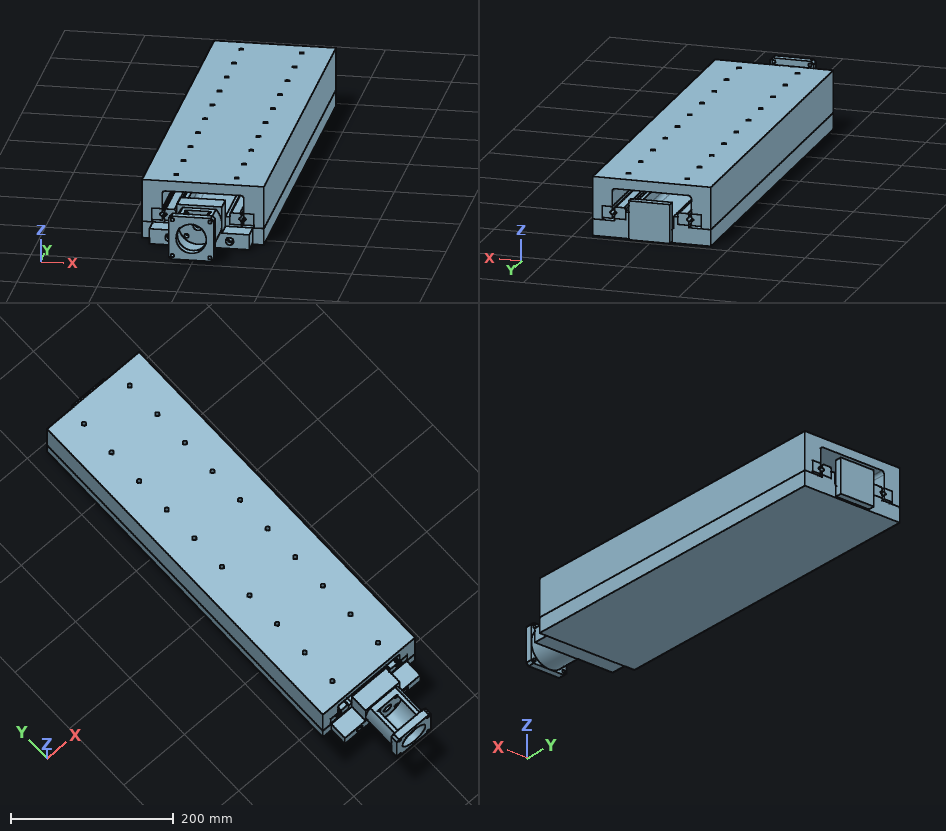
import cadquery as cq
import math

STAGE_WIDTH = 152.5
STAGE_LENGTH = 507.5
STAGE_HEIGHT = 76.0
BASE_HEIGHT = 21.5
BOLT_HALF_SPACING = 38.0

AXIS_Z = 33.0
DRIVE_HALF_WIDTH = 28.0
SHAFT_HOLE_DIAMETER = 12.5

OPENING_HALF_WIDTH = 51.0
OPENING_TOP_Z = 63.0
OPENING_FILLET = 4.0
RAIL_POCKET_HALF_WIDTH = 63.5
TABLE_HOLES_PER_ROW = 10
TABLE_HOLE_PITCH = STAGE_LENGTH / TABLE_HOLES_PER_ROW
TABLE_HOLE_DIAMETER = 5.5

RAIL_BOTTOM_Z = 24.5
RAIL_TOP_Z = 39.5
RAIL_GAP = 3.0
INNER_RAIL_CHAMFER = 2.0
GROOVE_DEPTH = 3.0
GROOVE_HALF_HEIGHT = 3.0
INNER_RAIL_WIDTH = 14.5
OUTER_RAIL_FACE_X = OPENING_HALF_WIDTH
INNER_RAIL_FACE_X = OUTER_RAIL_FACE_X - RAIL_GAP
INNER_RAIL_BACK_X = INNER_RAIL_FACE_X - INNER_RAIL_WIDTH

RIDGE_TOP_Z = 34.0
CHANNEL_FLOOR_Z = 15.5
CHANNEL_FILLET = 6.0

BRACKET_LENGTH = 25.0
BRACKET_BOTTOM_Z = 2.0
BRACKET_TOP_Z = 56.0
FOOT_HALF_WIDTH = 62.5
FOOT_BOLT_Z = 11.5
FOOT_BOLT_DIAMETER = 6.0
FOOT_COUNTERBORE_DIAMETER = 9.5
FOOT_COUNTERBORE_DEPTH = 9.0

TUBE_LENGTH = 47.5
TUBE_END_WALL = 9.0
TUBE_BORE_DIAMETER = 49.0
TUBE_BOLT_HALF_SPACING = 14.5
TUBE_BOLT_DIAMETER = 5.5
TUBE_FLAT_HEIGHT = 19.0
FLANGE_THICKNESS = 10.0
FLANGE_CHAMFER = 3.5
PILOT_BORE_DIAMETER = 38.0
FLANGE_HOLE_HALF_SPACING = 23.5
FLANGE_HOLE_DIAMETER = 4.0

END_PLATE_THICKNESS = 9.5
END_PLATE_HALF_WIDTH = 26.5
END_PLATE_TOP_Z = 52.0

STAGE_REAR_Y = STAGE_LENGTH / 2
STAGE_FRONT_Y = -STAGE_LENGTH / 2
BRACKET_FRONT_Y = STAGE_FRONT_Y - BRACKET_LENGTH
TUBE_WALL_Y = BRACKET_FRONT_Y - TUBE_END_WALL
TUBE_FRONT_Y = BRACKET_FRONT_Y - TUBE_LENGTH
FLANGE_FRONT_Y = TUBE_FRONT_Y - FLANGE_THICKNESS


def centred_box(half_width, y_front, y_rear, z_bottom, z_top):
    """Box that is symmetric about X = 0."""
    size = (2 * half_width, y_rear - y_front, z_top - z_bottom)
    corner = (-half_width, y_front, z_bottom)
    return cq.Workplane("XY").box(*size, centered=False).translate(corner)


def stage_box(half_width, z_bottom, z_top):
    """Box that is symmetric about X = 0 and as long as the stage."""
    return centred_box(half_width, STAGE_FRONT_Y, STAGE_REAR_Y, z_bottom, z_top)


def y_cylinder(x, z, diameter, y_front, y_rear):
    """Cylinder along Y."""
    start = cq.Vector(x, y_front, z)
    return cq.Workplane(cq.Solid.makeCylinder(diameter / 2, y_rear - y_front, start, cq.Vector(0, 1, 0)))


def make_table():
    table = stage_box(STAGE_WIDTH / 2, BASE_HEIGHT, STAGE_HEIGHT)
    opening = stage_box(OPENING_HALF_WIDTH, BASE_HEIGHT, OPENING_TOP_Z)
    opening = opening.edges("|Y and >Z").fillet(OPENING_FILLET)
    rail_pockets = stage_box(RAIL_POCKET_HALF_WIDTH, BASE_HEIGHT, RAIL_TOP_Z)
    bolt_holes = (
        cq.Workplane("XY", origin=(0, 0, OPENING_TOP_Z))
        .rarray(2 * BOLT_HALF_SPACING, TABLE_HOLE_PITCH, 2, TABLE_HOLES_PER_ROW)
        .circle(TABLE_HOLE_DIAMETER / 2)
        .extrude(STAGE_HEIGHT - OPENING_TOP_Z)
    )
    return table.cut(opening).cut(rail_pockets).cut(bolt_holes)


def make_base():
    plate = stage_box(STAGE_WIDTH / 2, 0, BASE_HEIGHT)
    rail_seat = stage_box(INNER_RAIL_FACE_X, BASE_HEIGHT, RAIL_BOTTOM_Z)
    ridge = stage_box(INNER_RAIL_BACK_X, RAIL_BOTTOM_Z, RIDGE_TOP_Z)
    channel = stage_box(DRIVE_HALF_WIDTH, CHANNEL_FLOOR_Z, RIDGE_TOP_Z)
    channel = channel.edges("|Y and <Z").fillet(CHANNEL_FILLET)
    return plate.union(rail_seat).union(ridge).cut(channel)


def make_rail(face_x, back_x):
    """Rail with a V groove in the side at face_x."""
    inward = math.copysign(1, back_x - face_x)
    groove_z = (RAIL_BOTTOM_Z + RAIL_TOP_Z) / 2
    profile = [
        (face_x, RAIL_BOTTOM_Z),
        (back_x, RAIL_BOTTOM_Z),
        (back_x, RAIL_TOP_Z),
        (face_x, RAIL_TOP_Z),
        (face_x, groove_z + GROOVE_HALF_HEIGHT),
        (face_x + inward * GROOVE_DEPTH, groove_z),
        (face_x, groove_z - GROOVE_HALF_HEIGHT),
    ]
    return cq.Workplane("XZ", origin=(0, STAGE_REAR_Y, 0)).polyline(profile).close().extrude(STAGE_LENGTH)


def make_outer_rail(side):
    return make_rail(side * OUTER_RAIL_FACE_X, side * RAIL_POCKET_HALF_WIDTH)


def make_inner_rail(side):
    rail = make_rail(side * INNER_RAIL_FACE_X, side * INNER_RAIL_BACK_X)
    return rail.faces(">Z").edges("|Y").chamfer(INNER_RAIL_CHAMFER)


def square_hole_pattern(half_spacing, diameter, y_front, y_rear):
    """Four cylinders along Y at the corners of a square around the drive axis."""
    return (
        cq.Workplane("XZ", origin=(0, y_rear, AXIS_Z))
        .rect(2 * half_spacing, 2 * half_spacing, forConstruction=True)
        .vertices()
        .circle(diameter / 2)
        .extrude(y_rear - y_front)
    )


def make_bracket():
    foot = centred_box(FOOT_HALF_WIDTH, BRACKET_FRONT_Y, STAGE_FRONT_Y, BRACKET_BOTTOM_Z, BASE_HEIGHT)
    column = centred_box(DRIVE_HALF_WIDTH, BRACKET_FRONT_Y, STAGE_FRONT_Y, BRACKET_BOTTOM_Z, BRACKET_TOP_Z)
    bracket = foot.union(column)
    bracket = bracket.cut(y_cylinder(0, AXIS_Z, SHAFT_HOLE_DIAMETER, BRACKET_FRONT_Y, STAGE_FRONT_Y))

    bore_end_y = BRACKET_FRONT_Y + FOOT_COUNTERBORE_DEPTH
    for x in (-BOLT_HALF_SPACING, BOLT_HALF_SPACING):
        bolt_hole = y_cylinder(x, FOOT_BOLT_Z, FOOT_BOLT_DIAMETER, BRACKET_FRONT_Y, STAGE_FRONT_Y)
        counterbore = y_cylinder(x, FOOT_BOLT_Z, FOOT_COUNTERBORE_DIAMETER, BRACKET_FRONT_Y, bore_end_y)
        bracket = bracket.cut(bolt_hole).cut(counterbore)
    return bracket


def make_motor_tube():
    tube = y_cylinder(0, AXIS_Z, 2 * DRIVE_HALF_WIDTH, TUBE_FRONT_Y, BRACKET_FRONT_Y)
    above_flat = centred_box(
        DRIVE_HALF_WIDTH, TUBE_FRONT_Y, BRACKET_FRONT_Y, AXIS_Z + TUBE_FLAT_HEIGHT, AXIS_Z + DRIVE_HALF_WIDTH
    )
    bore = y_cylinder(0, AXIS_Z, TUBE_BORE_DIAMETER, TUBE_FRONT_Y, TUBE_WALL_Y)
    shaft_hole = y_cylinder(0, AXIS_Z, SHAFT_HOLE_DIAMETER, TUBE_WALL_Y, BRACKET_FRONT_Y)
    bolt_holes = square_hole_pattern(TUBE_BOLT_HALF_SPACING, TUBE_BOLT_DIAMETER, TUBE_WALL_Y, BRACKET_FRONT_Y)
    return tube.cut(above_flat).cut(bore).cut(shaft_hole).cut(bolt_holes)


def make_motor_flange():
    flange = centred_box(
        DRIVE_HALF_WIDTH, FLANGE_FRONT_Y, TUBE_FRONT_Y, AXIS_Z - DRIVE_HALF_WIDTH, AXIS_Z + DRIVE_HALF_WIDTH
    )
    flange = flange.edges("|Y").chamfer(FLANGE_CHAMFER)
    pilot_bore = y_cylinder(0, AXIS_Z, PILOT_BORE_DIAMETER, FLANGE_FRONT_Y, TUBE_FRONT_Y)
    bolt_holes = square_hole_pattern(
        FLANGE_HOLE_HALF_SPACING, FLANGE_HOLE_DIAMETER, FLANGE_FRONT_Y, TUBE_FRONT_Y
    )
    return flange.cut(pilot_bore).cut(bolt_holes)


def make_motor_mount():
    return make_motor_tube().union(make_motor_flange())


def make_end_plate():
    rear_y = STAGE_REAR_Y + END_PLATE_THICKNESS
    return centred_box(END_PLATE_HALF_WIDTH, STAGE_REAR_Y, rear_y, BRACKET_BOTTOM_Z, END_PLATE_TOP_Z)


table = make_table()
base = make_base()
bracket = make_bracket()
motor_mount = make_motor_mount()
end_plate = make_end_plate()

outer_rails = []
inner_rails = []
for side in (-1, 1):
    outer_rails.append(make_outer_rail(side).val())
    inner_rails.append(make_inner_rail(side).val())

result = cq.Compound.makeCompound(
    [table.val(), base.val(), *outer_rails, *inner_rails, bracket.val(), motor_mount.val(), end_plate.val()]
)